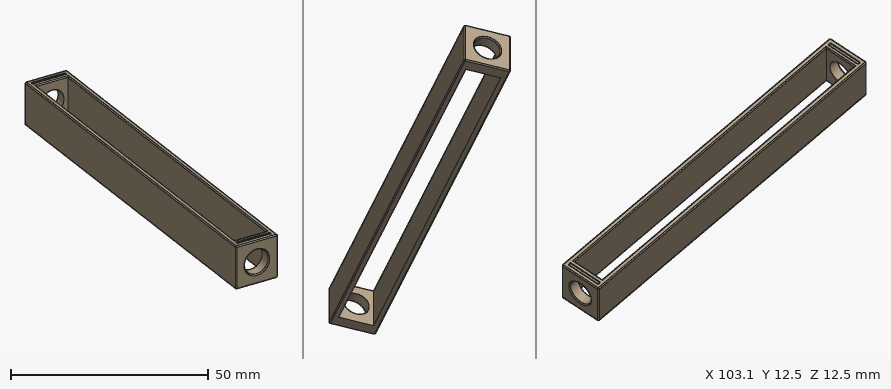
import cadquery as cq

length = 103.1
width = 12.5
height = 12.5

side_wall = 1.5
end_wall = 3.2
edge_break = 0.3

hole_diameter = 7.0
hole_chamfer = edge_break

groove_width = 0.8
groove_depth = 0.3
groove_offset = 1.2

cavity_length = length - 2 * end_wall
cavity_width = width - 2 * side_wall
rim_length = cavity_length + 2 * edge_break
rim_width = cavity_width + 2 * edge_break


def outer_block():
    """Solid bar centred on the origin with all twelve edges chamfered."""
    block = cq.Workplane("XY").box(length, width, height)
    return block.edges().chamfer(edge_break)


def cavity():
    """Through opening from top to bottom, widened by a chamfer at the top rim."""
    opening = cq.Workplane("XY").box(cavity_length, cavity_width, height)
    top_rim = (
        cq.Workplane("XY")
        .workplane(offset=height / 2 - edge_break)
        .rect(cavity_length, cavity_width)
        .workplane(offset=edge_break)
        .rect(rim_length, rim_width)
        .loft()
    )
    return opening.union(top_rim)


def end_hole():
    """Hole along X through both end walls, with a chamfered mouth on each outer face."""
    radius = hole_diameter / 2
    profile = [
        (-length / 2, 0),
        (-length / 2, radius + hole_chamfer),
        (-length / 2 + hole_chamfer, radius),
        (length / 2 - hole_chamfer, radius),
        (length / 2, radius + hole_chamfer),
        (length / 2, 0),
    ]
    return cq.Workplane("XY").polyline(profile).close().revolve(360, (0, 0, 0), (1, 0, 0))


def end_groove(side):
    """Groove across an end wall, as long as the cavity rim is wide."""
    center_x = side * (length / 2 - groove_offset - groove_width / 2)
    center_z = height / 2 - groove_depth / 2
    groove = cq.Workplane("XY").box(groove_width, rim_width, groove_depth)
    return groove.translate((center_x, 0, center_z))


result = outer_block().cut(cavity()).cut(end_hole())
for side in (-1, 1):
    result = result.cut(end_groove(side))